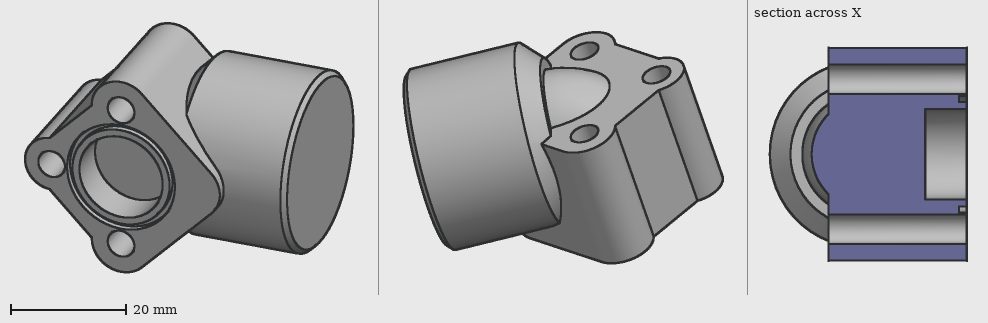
import cadquery as cq
import math

flange_depth = 24.0
half_square = 13.0
bolt_radius = 13.0
bolt_diameter = 5.0
corner_radius = 5.5
left_ear_radius = 5.0

port_radius = 7.8
port_depth = 7.2
groove_inner_radius = 9.1
groove_outer_radius = 10.1
groove_depth = 1.35

barrel_radius = 16.2
barrel_start_x = 6.1
barrel_end_x = 30.0
barrel_axis_y = 18.0
rear_chamfer = 3.6
front_chamfer = 0.9

elbow_tube_radius = 10.6
elbow_bend_radius = 7.5


def extrude_back(sketch, depth):
    """Extrude an XZ sketch from the mounting face towards +Y."""
    return sketch.extrude(-depth)


def make_flange():
    """Straight-sided plate with a round boss added at each of its four corners."""
    near = corner_radius / math.sqrt(2)
    square_corner = half_square * math.sqrt(2)
    far = bolt_radius + near
    foot_offset = (half_square - bolt_radius / math.sqrt(2)) / math.sqrt(2)
    foot_x = -bolt_radius - foot_offset
    body = extrude_back(
        cq.Workplane("XZ").polyline([
            (foot_x, foot_offset),
            (bolt_radius - square_corner, bolt_radius),
            (0, bolt_radius),
            (near, far),
            (far, near),
            (bolt_radius, 0),
            (far, -near),
            (near, -far),
            (0, -bolt_radius),
            (bolt_radius - square_corner, -bolt_radius),
            (foot_x, -foot_offset),
        ]).close(),
        flange_depth,
    )
    corners = [
        (0, bolt_radius, corner_radius),
        (0, -bolt_radius, corner_radius),
        (bolt_radius, 0, corner_radius),
        (-bolt_radius, 0, left_ear_radius),
    ]
    for x, z, radius in corners:
        corner = extrude_back(cq.Workplane("XZ").center(x, z).circle(radius), flange_depth)
        body = body.union(corner)
    return body


def make_barrel():
    """Cylinder along X with a wide chamfer at its rear and a small one at its mouth."""
    barrel = (
        cq.Workplane("YZ", origin=(barrel_start_x, barrel_axis_y, 0))
        .circle(barrel_radius)
        .extrude(barrel_end_x - barrel_start_x)
    )
    return barrel.faces("<X").chamfer(rear_chamfer).faces(">X").chamfer(front_chamfer)


def make_elbow():
    """Quarter bend; the tube is wider than the bend, so its section stops at the bend axis."""
    bend_y = barrel_axis_y - elbow_bend_radius
    half_chord = math.sqrt(elbow_tube_radius**2 - elbow_bend_radius**2)
    section = (
        cq.Workplane("XY", origin=(elbow_bend_radius, bend_y, 0))
        .transformed(rotate=(90, 0, 0))
        .moveTo(0, -half_chord)
        .threePointArc((-elbow_bend_radius - elbow_tube_radius, 0), (0, half_chord))
        .close()
    )
    return section.revolve(90, (0, 0), (0, -1))


def make_bolt_holes():
    """Through holes at the three drilled corners."""
    centres = [(0, bolt_radius), (0, -bolt_radius), (-bolt_radius, 0)]
    return extrude_back(
        cq.Workplane("XZ").pushPoints(centres).circle(bolt_diameter / 2), flange_depth
    )


def make_port():
    """Flat-bottomed port bore."""
    return extrude_back(cq.Workplane("XZ").circle(port_radius), port_depth)


def make_seal_groove():
    """Ring groove around the port."""
    return extrude_back(
        cq.Workplane("XZ").circle(groove_outer_radius).circle(groove_inner_radius), groove_depth
    )


result = make_flange().union(make_barrel()).union(make_elbow())
result = result.cut(make_bolt_holes()).cut(make_port()).cut(make_seal_groove())